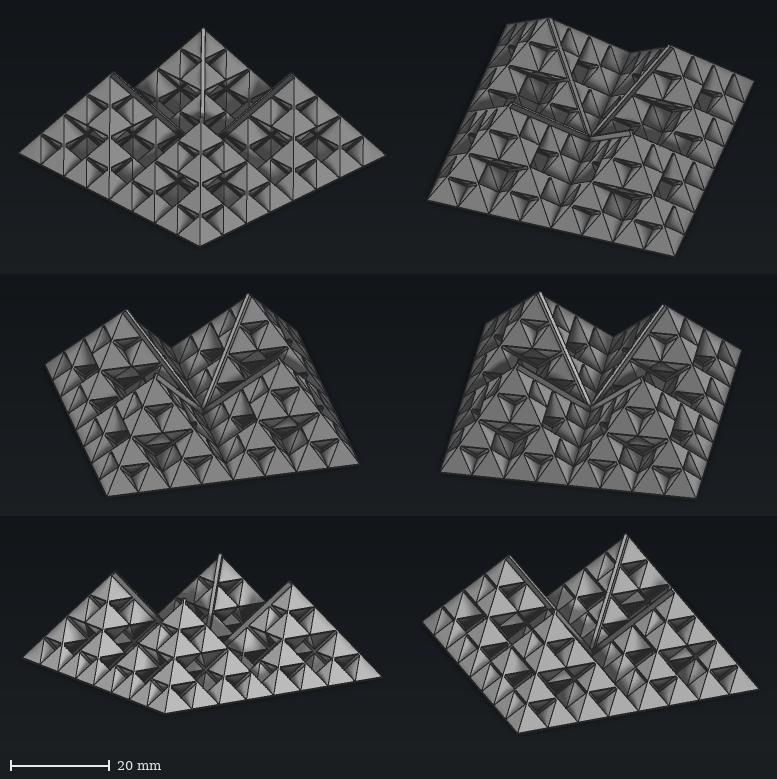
import cadquery as cq
import math

side = 52.85
slab = 0.2
rib_width = 0.8
rib_height = 0.8

root_two = math.sqrt(2)
large = side / 2
medium = large / 2
small = medium / 2

large_rise = large / root_two
medium_rise = medium / root_two
small_rise = small / root_two

rib_setback = rib_width / root_two


def polyhedron(points, faces):
    """Solid bounded by flat faces, each given as indices into points."""
    panels = []
    for face in faces:
        corners = [cq.Vector(*points[index]) for index in face]
        panels.append(cq.Face.makeFromWires(cq.Wire.makePolygon(corners, close=True)))
    return cq.Workplane(cq.Solid.makeSolid(cq.Shell.makeShell(panels)))


def square_slab(edge):
    """Thin square plate standing on Z = 0."""
    return cq.Workplane().box(edge, edge, slab, centered=(True, True, False))


def pyramid(edge):
    """Square pyramid on its slab, centred on the Z axis."""
    half = edge / 2
    base = [(-half, -half, slab), (half, -half, slab), (half, half, slab), (-half, half, slab)]
    apex = (0, 0, slab + edge / root_two)
    flanks = [(0, 1, 4), (1, 2, 4), (2, 3, 4), (3, 0, 4)]
    body = polyhedron(base + [apex], [(3, 2, 1, 0)] + flanks)
    return body.union(square_slab(edge))


def gap_between_pyramids(edge, inverted=False):
    """Tetrahedral gap between two touching pyramids of this edge, open towards -Y.

    It is centred on the Z axis, with one horizontal edge along Y and the opposite one along X.
    An upright gap has the Y edge at the bottom, an inverted gap has it at the top.
    """
    half = edge / 2
    rise = edge / root_two
    low = slab
    high = slab + rise
    along_y, along_x = (high, low) if inverted else (low, high)
    corners = [(0, -half, along_y), (0, half, along_y), (-half, 0, along_x), (half, 0, along_x)]
    tetrahedron = polyhedron(corners, [(0, 1, 2), (0, 3, 1), (0, 2, 3), (1, 3, 2)])

    far_end = half - rib_setback
    between_ribs = (
        cq.Workplane()
        .polyline([(0, far_end), (-edge, far_end - edge), (edge, far_end - edge)])
        .close()
        .extrude(high)
    )

    slab_front = -half if inverted else 0
    slab_above = (
        cq.Workplane()
        .box(2 * edge, edge, slab, centered=(True, False, False))
        .translate((0, slab_front, rise))
    )
    return tetrahedron.intersect(between_ribs).cut(slab_above)


def four_ways(shape):
    """Copies of a shape at quarter turns about the Z axis."""
    return [shape.rotate((0, 0, 0), (0, 0, 1), 90 * turn) for turn in range(4)]


def face_gaps(edge):
    """The gap in the middle of each face of a pyramid made of half-size ones."""
    half = edge / 2
    return four_ways(gap_between_pyramids(half).translate((0, -half / 2, 0)))


def large_pyramid():
    """Pyramid with the gap pattern cut two levels deep, centred on the Z axis."""
    gaps = face_gaps(large)

    offset = medium / 2
    places = [(x, y, 0) for x in (-offset, offset) for y in (-offset, offset)]
    places.append((0, 0, medium_rise))
    medium_gaps = face_gaps(medium)
    for place in places:
        gaps += [gap.translate(place) for gap in medium_gaps]

    overhang_gap = gap_between_pyramids(small, inverted=True)
    gaps += four_ways(overhang_gap.translate((0, -small / 2, small_rise)))

    body = pyramid(large)
    for gap in gaps:
        body = body.cut(gap)

    return body.union(square_slab(small).translate((0, 0, small_rise)))


def main_rib():
    """Upright rib under a 45 degree slope, from the middle of the base to one apex, along +X."""
    reach = large / root_two
    lift = rib_height * root_two
    top = slab + large_rise
    profile = [(0, 0), (reach, 0), (reach, top + lift), (0, slab + lift)]
    return cq.Workplane("XZ").polyline(profile).close().extrude(rib_width / 2, both=True)


envelope = pyramid(side)
diagonal_rib = main_rib().rotate((0, 0, 0), (0, 0, 1), 45).intersect(envelope)
corner_pyramid = large_pyramid().translate((large / 2, large / 2, 0))

parts = four_ways(corner_pyramid) + four_ways(diagonal_rib)
result = parts[0]
for part in parts[1:]:
    result = result.union(part)